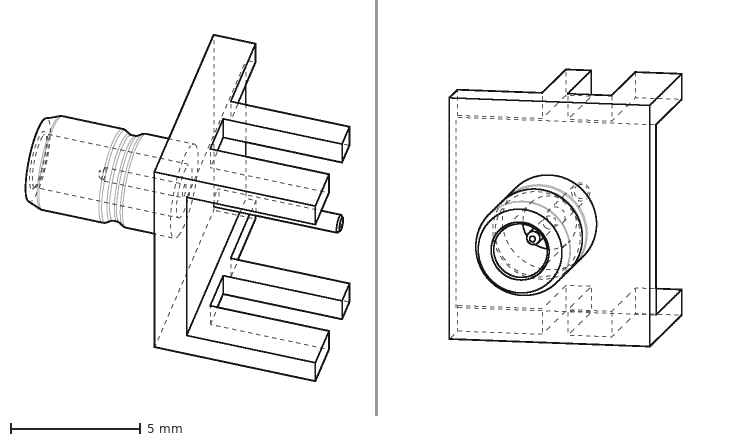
import cadquery as cq

length = 12.4
plate_width = 7.9
plate_height = 9.5

plate_front = 5.9
plate_thickness = 1.3
rail_thickness = 1.7
leg_height = 1.0
wide_leg_width = 1.84
narrow_leg_width = 1.0
narrow_leg_bottom = -0.38

barrel_radius = 1.86
mouth_radius = 1.65
mouth_taper_length = 0.56
groove_radius = 1.7
groove_start = 3.08
groove_end = 3.92
groove_slope_length = 0.27
corner_rounding = 0.2

bore_mouth_radius = 1.14
bore_radius = 1.05
contact_radius = 0.26
contact_tip_radius = 0.11
contact_tip_length = 0.19
contact_recess = 2.48
tail_radius = 0.36
tail_end = 12.25
tail_chamfer = 0.09


def box(x_range, y_range, z_range):
    """Box between pairs of limits along X, Y and Z."""
    corner = (x_range[0], y_range[0], z_range[0])
    size = [limits[1] - limits[0] for limits in (x_range, y_range, z_range)]
    return cq.Workplane("XY").box(*size, centered=False).translate(corner)


def rod(radius, start, end):
    """Round bar along X."""
    return cq.Workplane("YZ", origin=(start, 0, 0)).circle(radius).extrude(end - start)


def make_barrel():
    """Tapered, grooved barrel with a blind bore ending at the plate."""
    barrel = (
        cq.Workplane("XY")
        .moveTo(0, 0)
        .lineTo(0, mouth_radius)
        .lineTo(mouth_taper_length, barrel_radius)
        .lineTo(groove_start, barrel_radius)
        .lineTo(groove_start + groove_slope_length, groove_radius)
        .lineTo(groove_end - groove_slope_length, groove_radius)
        .lineTo(groove_end, barrel_radius)
        .lineTo(plate_front, barrel_radius)
        .lineTo(plate_front, 0)
        .close()
        .revolve(360, (0, 0, 0), (1, 0, 0))
    )
    margin = mouth_taper_length / 2
    rounded_zone = cq.selectors.BoxSelector(
        (margin, -plate_width, -plate_height),
        (plate_front - margin, plate_width, plate_height),
    )
    barrel = barrel.edges("%CIRCLE").edges(rounded_zone).fillet(corner_rounding)
    mouth_chamfer = bore_mouth_radius - bore_radius
    bore = (
        cq.Workplane("XY")
        .moveTo(0, 0)
        .lineTo(0, bore_mouth_radius)
        .lineTo(mouth_chamfer, bore_radius)
        .lineTo(plate_front, bore_radius)
        .lineTo(plate_front, 0)
        .close()
        .revolve(360, (0, 0, 0), (1, 0, 0))
    )
    return barrel.cut(bore)


def make_contact():
    """Centre contact inside the bore, with a blunt conical tip."""
    tip_reduction = contact_radius - contact_tip_radius
    contact = rod(contact_radius, contact_recess, plate_front)
    return contact.faces("<X").chamfer(contact_tip_length, tip_reduction)


def make_plate():
    """Plate with a thicker rail and two legs along its top and bottom."""
    half_width = plate_width / 2
    half_height = plate_height / 2
    plate_back = plate_front + plate_thickness
    plate = box((plate_front, plate_back), (-half_width, half_width), (-half_height, half_height))
    wide_leg = (-half_width, -half_width + wide_leg_width)
    narrow_leg = (narrow_leg_bottom, narrow_leg_bottom + narrow_leg_width)
    rail_back = plate_front + rail_thickness
    for z_range in ((-half_height, leg_height - half_height), (half_height - leg_height, half_height)):
        plate = plate.union(box((plate_front, rail_back), (-half_width, half_width), z_range))
        for y_range in (wide_leg, narrow_leg):
            plate = plate.union(box((plate_front, length), y_range, z_range))
    return plate


tail_pin = rod(tail_radius, plate_front, tail_end).faces(">X").chamfer(tail_chamfer)

result = make_plate().union(make_barrel()).union(make_contact()).union(tail_pin)